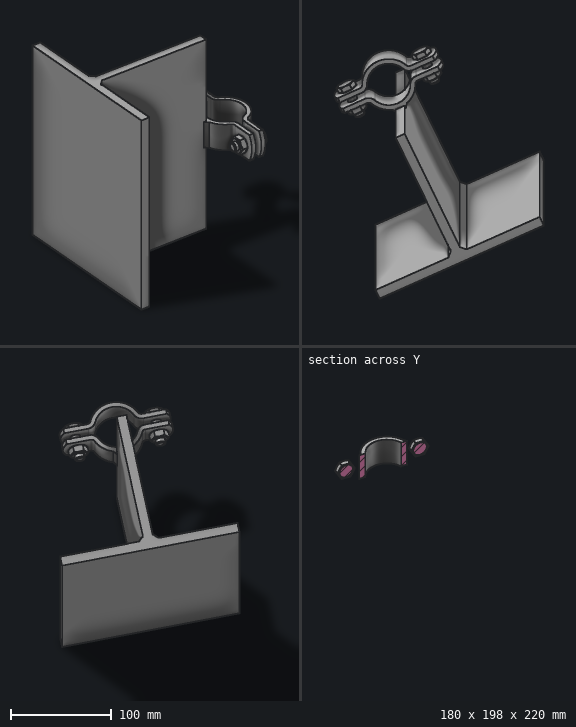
import cadquery as cq
import math

plate_width = 180.0
plate_height = 220.0
plate_thickness = 10.0
web_thickness = 10.0
web_depth = 135.0
base_weld_leg = 5.0

clamp_height = 30.0
strap_thickness = 5.0
ring_inner_radius = 21.5
flange_gap = 7.0
flange_half_span = 56.0
flange_end_radius = 30.0
bend_radius = 4.0
clamp_weld_leg = 3.0

bolt_offset = 41.0
bolt_diameter = 10.0
bolt_length = 30.0
bolt_tip_diameter = 8.2
bolt_tip_length = 1.2
hex_across_flats = 17.0
washer_face_diameter = 15.4
washer_face_height = 0.4
head_face_diameter = 16.5
nut_face_diameter = 15.4
hex_chamfer_angle = 30.0
head_height = 6.4
nut_height = 8.0

web_edge_y = plate_thickness + web_depth
ring_outer_radius = ring_inner_radius + strap_thickness
ring_center_y = web_edge_y + ring_outer_radius
flange_inner_offset = flange_gap / 2
flange_outer_offset = flange_inner_offset + strap_thickness
hex_across_corners = hex_across_flats / math.cos(math.pi / 6)


def make_bracket():
    """Base plate, web and the two welds between them, as one extruded outline."""
    half_plate = plate_width / 2
    half_web = web_thickness / 2
    right_side = [
        (half_plate, 0),
        (half_plate, plate_thickness),
        (half_web + base_weld_leg, plate_thickness),
        (half_web, plate_thickness + base_weld_leg),
        (half_web, web_edge_y),
    ]
    left_side = [(-x, y) for x, y in reversed(right_side)]
    outline = cq.Workplane("XY").polyline(right_side + left_side).close()
    return outline.extrude(plate_height / 2, both=True)


def make_clamp_half():
    """Strap on the +Y side of the clamp axis, with the axis at the origin."""
    bend_y = flange_outer_offset + bend_radius
    bend_x = math.sqrt((ring_outer_radius + bend_radius) ** 2 - bend_y ** 2)
    ring_end_angle = math.atan2(bend_y, bend_x)
    half_sweep = (math.pi / 2 - ring_end_angle) / 2
    inside_bend_radius = bend_radius + strap_thickness

    def ring_point(radius, side):
        return (side * radius * math.cos(ring_end_angle), radius * math.sin(ring_end_angle))

    def bend_point(radius, side):
        x = bend_x - radius * math.sin(half_sweep)
        y = bend_y - radius * math.cos(half_sweep)
        return (side * x, y)

    strap = (
        cq.Workplane("XY")
        .moveTo(-flange_half_span, flange_outer_offset)
        .lineTo(-bend_x, flange_outer_offset)
        .threePointArc(bend_point(bend_radius, -1), ring_point(ring_outer_radius, -1))
        .threePointArc((0, ring_outer_radius), ring_point(ring_outer_radius, 1))
        .threePointArc(bend_point(bend_radius, 1), (bend_x, flange_outer_offset))
        .lineTo(flange_half_span, flange_outer_offset)
        .lineTo(flange_half_span, flange_inner_offset)
        .lineTo(bend_x, flange_inner_offset)
        .threePointArc(bend_point(inside_bend_radius, 1), ring_point(ring_inner_radius, 1))
        .threePointArc((0, ring_inner_radius), ring_point(ring_inner_radius, -1))
        .threePointArc(bend_point(inside_bend_radius, -1), (-bend_x, flange_inner_offset))
        .lineTo(-flange_half_span, flange_inner_offset)
        .close()
        .extrude(clamp_height / 2, both=True)
    )
    return strap.intersect(make_flange_end_envelope())


def make_flange_end_envelope():
    """Block along Y whose two ends are bowed, used to round the flange ends."""
    half_height = clamp_height / 2
    bow = flange_end_radius - math.sqrt(flange_end_radius ** 2 - half_height ** 2)
    corner_x = flange_half_span - bow
    return (
        cq.Workplane("XZ")
        .moveTo(-corner_x, -half_height)
        .lineTo(corner_x, -half_height)
        .threePointArc((flange_half_span, 0), (corner_x, half_height))
        .lineTo(-corner_x, half_height)
        .threePointArc((-flange_half_span, 0), (-corner_x, -half_height))
        .close()
        .extrude(ring_outer_radius, both=True)
    )


def make_clamp():
    half = make_clamp_half()
    clamp = half.union(half.mirror("XZ"))
    return clamp.translate((0, ring_center_y, 0))


def make_clamp_weld():
    """Weld joining the web edge to the ring, filling the corners on both sides."""
    weld_x = web_thickness / 2 + clamp_weld_leg
    ring_y = ring_center_y - math.sqrt(ring_outer_radius ** 2 - weld_x ** 2)
    root_y = web_edge_y - clamp_weld_leg
    return (
        cq.Workplane("XY")
        .moveTo(-web_thickness / 2, root_y)
        .lineTo(web_thickness / 2, root_y)
        .lineTo(weld_x, ring_y)
        .threePointArc((0, web_edge_y), (-weld_x, ring_y))
        .close()
        .extrude(clamp_height / 2, both=True)
    )


def make_hexagon(height, face_diameter, chamfer_both_ends):
    """Hexagon along Z from 0 to height, corners on X; the top, or both ends, chamfered by a cone."""
    face_radius = face_diameter / 2
    corner_radius = hex_across_corners / 2
    drop = (corner_radius - face_radius) * math.tan(math.radians(hex_chamfer_angle))
    profile = [(0, 0)]
    if chamfer_both_ends:
        profile += [(face_radius, 0), (corner_radius, drop)]
    else:
        profile += [(corner_radius, 0)]
    profile += [(corner_radius, height - drop), (face_radius, height), (0, height)]
    envelope = cq.Workplane("XZ").polyline(profile).close().revolve(360, (0, 0), (0, 1))
    prism = cq.Workplane("XY").polygon(6, hex_across_corners).extrude(height)
    return prism.intersect(envelope)


def make_bolt_with_nut():
    """Bolt and nut along Z, with the underside of the head at Z = 0 and the shank below it."""
    shank_radius = bolt_diameter / 2
    shank_profile = [
        (0, 0),
        (shank_radius, 0),
        (shank_radius, bolt_tip_length - bolt_length),
        (bolt_tip_diameter / 2, -bolt_length),
        (0, -bolt_length),
    ]
    shank = cq.Workplane("XZ").polyline(shank_profile).close().revolve(360, (0, 0), (0, 1))
    washer_face = cq.Workplane("XY").circle(washer_face_diameter / 2).extrude(washer_face_height)
    head = make_hexagon(head_height - washer_face_height, head_face_diameter, chamfer_both_ends=False)
    head = head.translate((0, 0, washer_face_height))
    grip = 2 * flange_outer_offset
    nut = make_hexagon(nut_height, nut_face_diameter, chamfer_both_ends=True)
    nut = nut.translate((0, 0, -grip - nut_height))
    return shank.union(washer_face).union(head).union(nut)


result = make_bracket().union(make_clamp()).union(make_clamp_weld())
fastener = make_bolt_with_nut().rotate((0, 0, 0), (1, 0, 0), -90)
for side in (-1, 1):
    place = (side * bolt_offset, ring_center_y + flange_outer_offset, 0)
    result = result.union(fastener.translate(place))